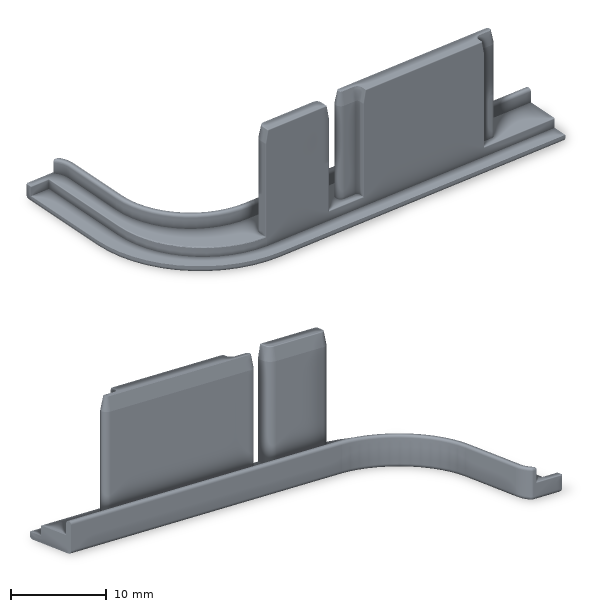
import cadquery as cq
import math

length_x = 25.75
length_y = 51.5
height = 15.0

flange_top = 0.75
floor_top = 1.95
wall_top = 3.6

outer_bend_radius = 13.75
step_x = 23.95
step_y = 2.35
step_bend_radius = 11.3
inner_x = 19.15
inner_y = 4.9
inner_bend_radius = 9.1
wall_thickness = 0.75

end_cap_width = 0.9
end_curve_radius = 3.1
end_curve_x = 1.9
end_corner_fillet = 0.2
end_wall_fillet = 0.25

wall_top_fillet = 0.3
inner_bottom_fillet = 0.4
small_fillet = 0.1

post_taper_start = 13.4
post_taper_inset = 0.3
post_overhang = 2.6
long_post_x = 21.75
long_post_web_x = 23.0
long_post_y = (23.65, 44.45)
long_post_rib_y = (26.05, 42.2)
long_post_end_fillet = 0.6
long_post_root_fillet = 0.3
short_post_x = 22.1
short_post_y = (13.1, 21.55)
short_post_fillet = 0.95


def bend_path(start_x, leg_x, leg_y, radius):
    """Open path along y = leg_y, round the bend and up x = leg_x to the far end."""
    diagonal = radius * math.sqrt(0.5)
    centre_x = leg_x - radius
    centre_y = leg_y + radius
    return (
        cq.Workplane("XY")
        .moveTo(start_x, leg_y)
        .lineTo(centre_x, leg_y)
        .threePointArc((centre_x + diagonal, centre_y - diagonal), (leg_x, centre_y))
        .lineTo(leg_x, length_y)
    )


def inside_of_bend(offset):
    """Everything on the inner side of the inner boundary, moved outward by an offset."""
    radius = inner_bend_radius + offset
    end_radius = end_curve_radius - offset
    end_diagonal = end_radius * math.sqrt(0.5)
    leg_y = inner_y - offset
    end_centre_y = inner_y - end_curve_radius
    return (
        bend_path(end_curve_x, inner_x + offset, leg_y, radius)
        .lineTo(-length_x, length_y)
        .lineTo(-length_x, end_centre_y)
        .lineTo(end_curve_x - end_radius, end_centre_y)
        .threePointArc(
            (end_curve_x - end_diagonal, end_centre_y + end_diagonal),
            (end_curve_x, leg_y),
        )
        .close()
        .extrude(wall_top)
    )


def outer_plate(leg_x, leg_y, radius, z_high):
    """Plate bounded by one outer boundary, filled towards the inside of the bend."""
    return (
        bend_path(0, leg_x, leg_y, radius)
        .lineTo(0, length_y)
        .close()
        .extrude(z_high)
    )


def nearest_edge(part, point):
    return part.edges(cq.selectors.NearestToPointSelector(point))


def make_base():
    """Stepped floor: low outer flange, raised floor and the cap that closes the short leg."""
    end_cap = cq.Workplane("XY").box(end_cap_width, inner_y, floor_top, centered=False)
    flange = outer_plate(length_x, 0, outer_bend_radius, flange_top)
    floor = outer_plate(step_x, step_y, step_bend_radius, floor_top)
    base = flange.union(floor).union(end_cap).cut(inside_of_bend(0))
    base = nearest_edge(base, (0, 0, floor_top / 2)).fillet(end_corner_fillet)
    base = nearest_edge(base, (0, inner_y, floor_top / 2)).fillet(end_wall_fillet)
    return base.faces(">Z").edges("not >Y").fillet(small_fillet)


def make_wall():
    """Upright wall that follows the inner boundary and curves round at the closed end."""
    wall = outer_plate(step_x, step_y, step_bend_radius, wall_top)
    wall = wall.intersect(inside_of_bend(wall_thickness)).cut(inside_of_bend(0))
    wall = wall.edges("|Z and <X").fillet(end_wall_fillet)
    return nearest_edge(wall, (inner_x, length_y / 2, wall_top)).fillet(wall_top_fillet)


def make_rail():
    """Base and wall together, with the underside edge rounded."""
    rail = make_base().union(make_wall())
    return nearest_edge(rail, (inner_x, length_y / 2, 0)).fillet(inner_bottom_fillet)


def tapered_post(shaft):
    """Add a tip that leans in, cut the post flush with the step face and round that face."""
    tip_height = height - post_taper_start
    taper_angle = math.degrees(math.atan(post_taper_inset / tip_height))
    tip = (
        shaft.faces(">Z")
        .wires()
        .toPending()
        .workplane()
        .extrude(tip_height, taper=taper_angle, combine=False)
    )
    flush_block = cq.Workplane("XY").box(step_x, length_y, height, centered=False)
    post = shaft.union(tip).intersect(flush_block)
    return post.faces(">X").edges("not <Z").fillet(small_fillet)


def post_block(x_low, x_high, y_range):
    """Straight block from the flange up to where the taper starts."""
    y_low, y_high = y_range
    block_height = post_taper_start - flange_top
    block = cq.Workplane("XY").box(x_high - x_low, y_high - y_low, block_height, centered=False)
    return block.translate((x_low, y_low, flange_top))


def make_long_post():
    """Round-ended web backed by a shorter rib."""
    web = post_block(long_post_x, long_post_web_x, long_post_y)
    web = web.edges("|Z").fillet(long_post_end_fillet)
    rib = post_block(long_post_x + long_post_end_fillet, step_x + post_overhang, long_post_rib_y)
    shaft = web.union(rib)
    for rib_y in long_post_rib_y:
        root_edge = cq.selectors.NearestToPointSelector((long_post_web_x, rib_y, height / 2))
        shaft = shaft.edges("|Z").edges(root_edge).fillet(long_post_root_fillet)
    return tapered_post(shaft)


def make_short_post():
    """Plain post with two rounded corners and a rounded top."""
    shaft = post_block(short_post_x, step_x + post_overhang, short_post_y)
    shaft = shaft.edges("|Z and <X").fillet(short_post_fillet)
    return tapered_post(shaft).faces(">Z").edges().fillet(small_fillet)


result = make_rail().union(make_long_post()).union(make_short_post())